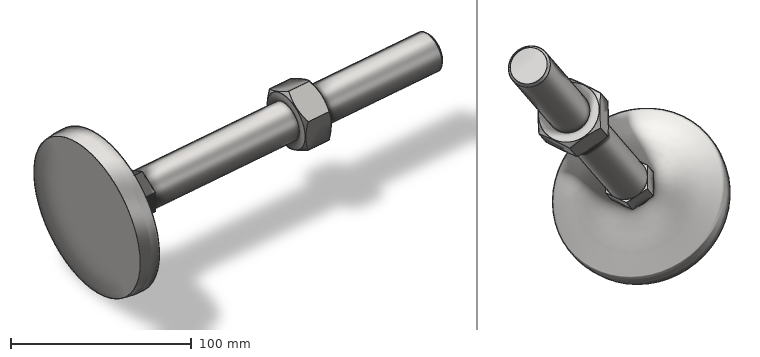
import cadquery as cq
import math

total_length = 238.5

plate_diameter = 100.0
sole_diameter = 97.8
band_start = 7.2
band_end = 11.7
rim_round = 2.0
rim_slope = 8.0
dome_top = 24.5
dome_top_diameter = 24.0

neck_diameter = 10.0
rod_diameter = 24.0
rod_chamfer = 1.5
collar_start = 26.0
collar_length = 12.5
collar_across_flats = 24.0

nut_start = 138.0
nut_length = 18.1
nut_across_flats = 35.5
nut_face_diameter = 34.8
nut_chamfer_angle = 30.0


def cylinder(diameter, start, end):
    """Solid cylinder on the Y axis between two heights."""
    return cq.Workplane("XZ", origin=(0, start, 0)).circle(diameter / 2).extrude(start - end)


def hexagon(across_flats, start, length):
    """Hexagonal prism on the Y axis with corners pointing along +Z and -Z."""
    corner_diameter = across_flats / math.cos(math.pi / 6)
    return (
        cq.Workplane("XZ", origin=(0, start, 0))
        .transformed(rotate=(0, 0, 90))
        .polygon(6, corner_diameter)
        .extrude(-length)
    )


def foot_plate():
    """Revolved plate with a tapered rim and a concave dome tangent to the rim."""
    plate_radius = plate_diameter / 2
    slope = math.radians(rim_slope)
    round_center = plate_radius - rim_round
    round_middle = math.pi / 4 - slope / 2
    round_end = math.pi / 2 - slope

    def on_round(angle):
        """Point on the rounded upper rim, with the angle measured from the radial direction."""
        return (round_center + rim_round * math.cos(angle), band_end + rim_round * math.sin(angle))

    profile = (
        cq.Workplane("XY")
        .lineTo(sole_diameter / 2, 0)
        .lineTo(plate_radius, band_start)
        .lineTo(plate_radius, band_end)
        .threePointArc(on_round(round_middle), on_round(round_end))
        .tangentArcPoint((dome_top_diameter / 2, dome_top), relative=False)
        .lineTo(0, dome_top)
        .close()
    )
    return profile.revolve(360, (0, 0, 0), (0, 1, 0))


def lock_nut():
    """Hexagonal nut whose corners are cut back by a cone at both faces."""
    face_radius = nut_face_diameter / 2
    corner_radius = nut_across_flats / 2 / math.cos(math.pi / 6)
    chamfer_height = (corner_radius - face_radius) * math.tan(math.radians(nut_chamfer_angle))
    nut_end = nut_start + nut_length
    envelope = (
        cq.Workplane("XY")
        .moveTo(0, nut_start)
        .lineTo(face_radius, nut_start)
        .lineTo(corner_radius, nut_start + chamfer_height)
        .lineTo(corner_radius, nut_end - chamfer_height)
        .lineTo(face_radius, nut_end)
        .lineTo(0, nut_end)
        .close()
        .revolve(360, (0, 0, 0), (0, 1, 0))
    )
    return hexagon(nut_across_flats, nut_start, nut_length).intersect(envelope)


neck = cylinder(neck_diameter, dome_top, collar_start)
collar = hexagon(collar_across_flats, collar_start, collar_length)
rod = cylinder(rod_diameter, collar_start + collar_length, total_length)
rod = rod.faces(">Y").chamfer(rod_chamfer)

result = foot_plate().union(neck).union(collar).union(rod).union(lock_nut())